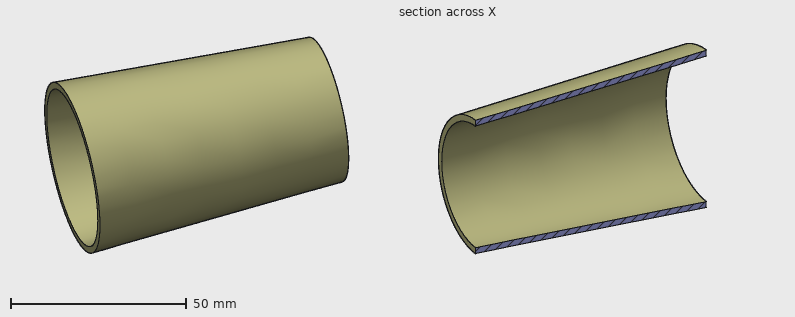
import cadquery as cq

length = 76.0
large_diameter = 50.0
small_diameter = 42.4
wall = 2.0

large_radius = large_diameter / 2
small_radius = small_diameter / 2

half_section = [
    (large_radius - wall, 0),
    (large_radius, 0),
    (small_radius, length),
    (small_radius - wall, length),
]

result = (
    cq.Workplane("XY")
    .polyline(half_section)
    .close()
    .revolve(360, (0, 0, 0), (0, 1, 0))
)